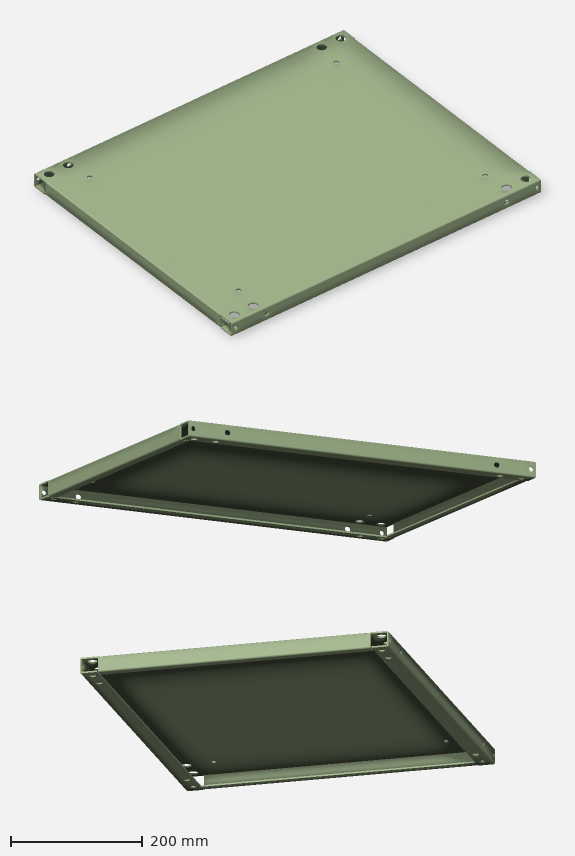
import cadquery as cq

WIDTH = 486.0
LENGTH = 595.0
HEIGHT = 25.0

SHEET = 2.5
BEND_RADIUS = SHEET

SIDE_LIP = 27.0
END_LIP = 15.0
END_FLANGE_INSET = 28.5
END_FLANGE_WIDTH = WIDTH - 2 * END_FLANGE_INSET

ACCESS_DIAMETER = 16.0
LIP_HOLE_DIAMETER = 10.0
ACCESS_INSET_X = 15.5
ACCESS_INSETS_Y = (16.5, 53.5)

FIXING_DIAMETER = 9.0
FIXING_INSET = 60.0

WALL_HOLE_DIAMETER = 8.0
WALL_HOLE_INSET = 8.0
WALL_SLOT_LENGTH = 10.0
WALL_SLOT_INSET = 66.5


def bar(plane, width, height, length):
    """Rectangular bar centred on the origin and running square to the plane."""
    return cq.Workplane(plane).rect(width, height).extrude(length / 2, both=True)


def folded_channel(plane, axis, span, lip, length):
    """Sheet folded along the axis: a top across the span, two walls and two inward bottom lips."""
    outside = bar(plane, span, HEIGHT, length).edges("|" + axis).fillet(BEND_RADIUS)
    inside = bar(plane, span - 2 * SHEET, HEIGHT - 2 * SHEET, length)
    opening = bar(plane, span - 2 * lip, HEIGHT, length).translate((0, 0, -HEIGHT / 2))
    return outside.cut(inside).cut(opening)


def four_corners(inset_x, inset_y):
    """Points at the given insets from the four corners of the panel."""
    x = WIDTH / 2 - inset_x
    y = LENGTH / 2 - inset_y
    return [(-x, -y), (x, -y), (-x, y), (x, y)]


def upright_pins(points, diameter, height):
    """Cylinders from mid-height, up or down according to the sign of the height."""
    return cq.Workplane("XY").pushPoints(points).circle(diameter / 2).extrude(height)


def both_ends(inset):
    """Points at mid-height of a side wall, at the given inset from each end."""
    y = LENGTH / 2 - inset
    return [(-y, 0), (y, 0)]


side_channels = folded_channel("XZ", "Y", WIDTH, SIDE_LIP, LENGTH)
end_channels = folded_channel("YZ", "X", LENGTH, END_LIP, END_FLANGE_WIDTH)

top_trim = (
    cq.Workplane("XY")
    .pushPoints([(0, -LENGTH / 2), (0, LENGTH / 2)])
    .rect(END_FLANGE_WIDTH, 2 * BEND_RADIUS)
    .extrude(HEIGHT)
)
panel = side_channels.cut(top_trim).union(end_channels)

for inset in ACCESS_INSETS_Y:
    points = four_corners(ACCESS_INSET_X, inset)
    panel = panel.cut(upright_pins(points, ACCESS_DIAMETER, HEIGHT))
    panel = panel.cut(upright_pins(points, LIP_HOLE_DIAMETER, -HEIGHT))

fixing_points = four_corners(FIXING_INSET, FIXING_INSET)
panel = panel.cut(upright_pins(fixing_points, FIXING_DIAMETER, HEIGHT))

wall_holes = (
    cq.Workplane("YZ")
    .pushPoints(both_ends(WALL_HOLE_INSET))
    .circle(WALL_HOLE_DIAMETER / 2)
    .extrude(WIDTH, both=True)
)
wall_slots = (
    cq.Workplane("YZ")
    .pushPoints(both_ends(WALL_SLOT_INSET))
    .slot2D(WALL_SLOT_LENGTH, WALL_HOLE_DIAMETER)
    .extrude(WIDTH, both=True)
)
panel = panel.cut(wall_holes).cut(wall_slots)

result = panel